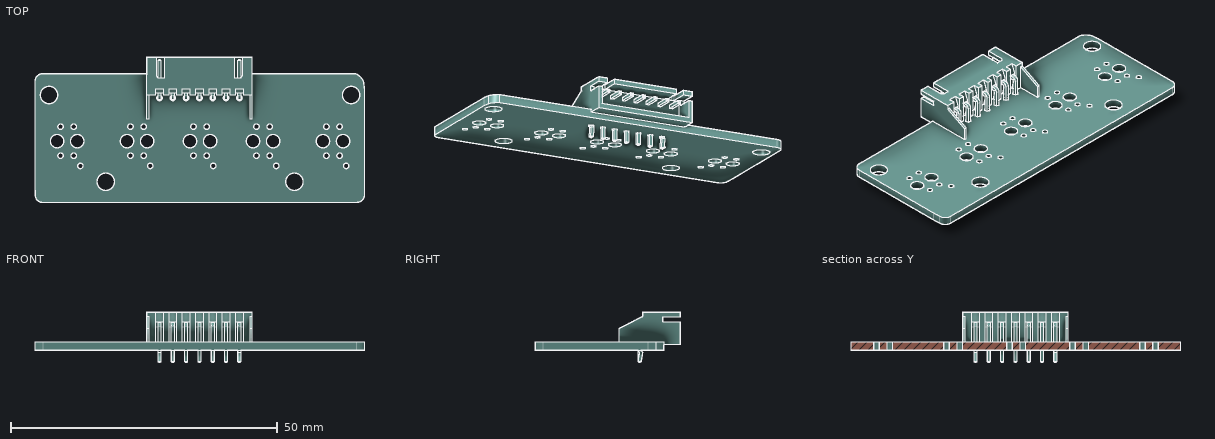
import cadquery as cq
import math


BOARD_LENGTH = 61.9
BOARD_WIDTH = 24.2
BOARD_THICKNESS = 1.6
CORNER_RADIUS = 1.5
KINK_FROM_EDGE = 3.05
FRONT_LEFT_SLANT = 0.05
BACK_RIGHT_SLANT = 0.2
BACK_RIGHT_BULGE = 0.2

HOLE_PATTERN_X = 0.05
MOUNT_HOLE_DIAMETER = 3.2
BACK_MOUNT_X, BACK_MOUNT_Y = 28.35, 20.2
FRONT_MOUNT_X, FRONT_MOUNT_Y = 17.7, 3.9

GROUP_INNER_X = 11.8
GROUP_OUTER_X = 24.95
GROUP_OFFSETS_X = (-GROUP_OUTER_X, -GROUP_INNER_X, 0.0, GROUP_INNER_X, GROUP_OUTER_X)
GROUP_Y = 11.5
LARGE_HOLE_DIAMETER = 2.5
LARGE_HOLE_SPACING = 3.8
SMALL_HOLE_DIAMETER = 1.0
SMALL_HOLE_SPACING_X = 2.5
SMALL_HOLE_SPACING_Y = 5.45
EXTRA_HOLE_X = 2.5
EXTRA_HOLE_Y = 6.9

CONNECTOR_X = -0.05
HOUSING_LENGTH = 19.8
HOUSING_TOP = 5.6
HOUSING_DEPTH = 7.1
OVERHANG = 3.1
OVERHANG_DROP = 0.55
HOUSING_BACK_Y = BOARD_WIDTH + OVERHANG
HOUSING_FRONT_Y = HOUSING_BACK_Y - HOUSING_DEPTH
HOUSING_LEFT = CONNECTOR_X - HOUSING_LENGTH / 2
HOUSING_RIGHT = CONNECTOR_X + HOUSING_LENGTH / 2

WING_THICKNESS = 0.45
WING_REACH = 4.45
WING_BACK_DROP = 0.8
WING_FRONT_DROP = 3.1

TOP_WALL = 0.9
FLOOR_WALL = 0.9
SIDE_WALL = 0.75
CAVITY_DEPTH = 4.0

SIDE_SLOT_DEPTH = 3.3
SIDE_SLOT_HEIGHT = 0.9
TOP_SLOT_DEPTH = 3.9
TOP_SLOT_WIDTH = 1.5
TOP_SLOT_INSET = 1.85
TOP_SLOT_RADIUS = 0.5

PIN_COUNT = 7
PIN_PITCH = 2.5
NOTCH_WIDTH = 1.5
NOTCH_TOP_DEPTH = 1.1
NOTCH_FACE_DEPTH = 0.4
NOTCH_FOOT_DEPTH = 1.1
NOTCH_FACE_TOP_DROP = 1.85
NOTCH_FACE_FOOT_DROP = 2.8
PIN_TOP_DROP = 1.9
NOTCH_FACE_TOP = HOUSING_TOP - NOTCH_FACE_TOP_DROP
NOTCH_FACE_FOOT = HOUSING_TOP - NOTCH_FACE_FOOT_DROP

PIN_WIDTH = 0.6
PIN_TOP = HOUSING_TOP - PIN_TOP_DROP
PIN_FOOT = -3.9
PIN_REACH = 0.85
BLADE_SETBACK = 0.5
PIN_FRONT_Y = HOUSING_FRONT_Y - PIN_REACH
PIN_BACK_Y = HOUSING_BACK_Y - BLADE_SETBACK
PIN_BEND_RADIUS = 0.75
PIN_TIP_CHAMFER = 0.2
KINK_OFFSET = 0.3
KINK_START_Z = -BOARD_THICKNESS
KINK_CREST_Z = -2.0

PIN_LEG_Y = PIN_FRONT_Y + PIN_WIDTH / 2
PIN_XS = [CONNECTOR_X + PIN_PITCH * (i - (PIN_COUNT - 1) / 2) for i in range(PIN_COUNT)]


def span_box(x0, x1, y0, y1, z0, z1):
    """Box between two opposite corners."""
    return cq.Workplane("XY").box(x1 - x0, y1 - y0, z1 - z0, centered=False).translate((x0, y0, z0))


def side_extrusion(points, x_center, width):
    """Extrude a closed (y, z) polygon along X, centered on x_center."""
    plane = cq.Workplane("YZ", origin=(x_center, 0, 0))
    return plane.polyline(points).close().extrude(width / 2, both=True)



def board_blank():
    right, back, r = BOARD_LENGTH / 2, BOARD_WIDTH, CORNER_RADIUS
    left = -right
    arc_inset = r * (1 - math.sqrt(0.5))
    slant_left = left + FRONT_LEFT_SLANT
    slant_right = right - BACK_RIGHT_SLANT
    outline = (
        cq.Workplane("XY")
        .moveTo(left + r, 0)
        .lineTo(right - r, 0)
        .threePointArc((right - arc_inset, arc_inset), (right, r))
        .lineTo(right, back - KINK_FROM_EDGE)
        .lineTo(slant_right, back - r)
        .sagittaArc((slant_right - r, back), -BACK_RIGHT_BULGE)
        .lineTo(left + r, back)
        .threePointArc((left + arc_inset, back - arc_inset), (left, back - r))
        .lineTo(left, KINK_FROM_EDGE)
        .lineTo(slant_left, r)
        .threePointArc((left + arc_inset, arc_inset), (left + r, 0))
        .close()
    )
    return outline.extrude(-BOARD_THICKNESS)


def drill(board, diameter, points):
    cutters = cq.Workplane("XY").pushPoints(points).circle(diameter / 2).extrude(-BOARD_THICKNESS)
    return board.cut(cutters)


def make_board():
    mount_points = [(HOLE_PATTERN_X + side * BACK_MOUNT_X, BACK_MOUNT_Y) for side in (-1, 1)]
    mount_points += [(HOLE_PATTERN_X + side * FRONT_MOUNT_X, FRONT_MOUNT_Y) for side in (-1, 1)]

    large_points = []
    small_points = [(x, PIN_LEG_Y) for x in PIN_XS]
    for offset in GROUP_OFFSETS_X:
        x = HOLE_PATTERN_X + offset
        small_points.append((x + EXTRA_HOLE_X, EXTRA_HOLE_Y))
        for side in (-1, 1):
            large_points.append((x + side * LARGE_HOLE_SPACING / 2, GROUP_Y))
            for end in (-1, 1):
                small_x = x + side * SMALL_HOLE_SPACING_X / 2
                small_points.append((small_x, GROUP_Y + end * SMALL_HOLE_SPACING_Y / 2))

    board = drill(board_blank(), MOUNT_HOLE_DIAMETER, mount_points)
    board = drill(board, LARGE_HOLE_DIAMETER, large_points)
    return drill(board, SMALL_HOLE_DIAMETER, small_points)



def housing_block():
    profile = [
        (HOUSING_FRONT_Y, 0),
        (BOARD_WIDTH, 0),
        (BOARD_WIDTH, -OVERHANG_DROP),
        (HOUSING_BACK_Y, -OVERHANG_DROP),
        (HOUSING_BACK_Y, HOUSING_TOP),
        (HOUSING_FRONT_Y, HOUSING_TOP),
    ]
    return side_extrusion(profile, CONNECTOR_X, HOUSING_LENGTH)


def wing(x_center):
    front_y = HOUSING_FRONT_Y - WING_REACH
    profile = [
        (HOUSING_FRONT_Y, 0),
        (front_y, 0),
        (front_y, HOUSING_TOP - WING_FRONT_DROP),
        (HOUSING_FRONT_Y, HOUSING_TOP - WING_BACK_DROP),
    ]
    return side_extrusion(profile, x_center, WING_THICKNESS)


def mating_cavity():
    return span_box(
        HOUSING_LEFT + SIDE_WALL, HOUSING_RIGHT - SIDE_WALL,
        HOUSING_BACK_Y - CAVITY_DEPTH, HOUSING_BACK_Y,
        FLOOR_WALL - OVERHANG_DROP, HOUSING_TOP - TOP_WALL,
    )


def side_slots():
    """One slot that crosses the cavity and opens both end walls."""
    slot_top = HOUSING_TOP - TOP_WALL
    return span_box(
        HOUSING_LEFT, HOUSING_RIGHT,
        HOUSING_BACK_Y - SIDE_SLOT_DEPTH, HOUSING_BACK_Y,
        slot_top - SIDE_SLOT_HEIGHT, slot_top,
    )


def top_slot(side):
    """Slot through the top wall, with its outer inside corner rounded; side is -1 or 1."""
    outer_x = CONNECTOR_X + side * (HOUSING_LENGTH / 2 - TOP_SLOT_INSET)
    inner_x = outer_x - side * TOP_SLOT_WIDTH
    slot = span_box(
        min(outer_x, inner_x), max(outer_x, inner_x),
        HOUSING_BACK_Y - TOP_SLOT_DEPTH, HOUSING_BACK_Y,
        HOUSING_TOP - TOP_WALL, HOUSING_TOP,
    )
    outer_corner = "|Z and <Y and <X" if side < 0 else "|Z and <Y and >X"
    return slot.edges(outer_corner).fillet(TOP_SLOT_RADIUS)


def pin_notch(x):
    """Notch in the front wall: sloping in at the top, upright at the pin, undercut below."""
    front = HOUSING_FRONT_Y
    profile = [
        (front, 0),
        (front, HOUSING_TOP),
        (front + NOTCH_TOP_DEPTH, HOUSING_TOP),
        (front + NOTCH_FACE_DEPTH, NOTCH_FACE_TOP),
        (front + NOTCH_FACE_DEPTH, NOTCH_FACE_FOOT),
        (front + NOTCH_FOOT_DEPTH, 0),
    ]
    return side_extrusion(profile, x, NOTCH_WIDTH)


def pin(x, kinked):
    """Square pin: a blade in the cavity that bends down into a leg through the board."""
    leg_back = PIN_FRONT_Y + PIN_WIDTH
    leg_front_points = [(PIN_FRONT_Y, PIN_FOOT)]
    leg_back_points = [(leg_back, PIN_FOOT)]
    if kinked:
        kink = ((KINK_OFFSET, KINK_CREST_Z), (0.0, KINK_START_Z))
        leg_front_points += [(PIN_FRONT_Y + offset, z) for offset, z in kink]
        leg_back_points += [(leg_back + offset, z) for offset, z in kink]
    bend_and_blade = [
        (PIN_FRONT_Y, PIN_TOP),
        (PIN_BACK_Y, PIN_TOP),
        (PIN_BACK_Y, PIN_TOP - PIN_WIDTH),
        (leg_back, PIN_TOP - PIN_WIDTH),
    ]
    profile = leg_front_points + bend_and_blade + leg_back_points[::-1]
    body = side_extrusion(profile, x, PIN_WIDTH)
    body = body.faces("<Z or >Y").edges().chamfer(PIN_TIP_CHAMFER)
    outer_bend = cq.selectors.NearestToPointSelector((x, PIN_FRONT_Y, PIN_TOP))
    return body.edges(outer_bend).fillet(PIN_BEND_RADIUS)


def make_connector():
    connector = housing_block().cut(mating_cavity()).cut(side_slots())
    for side in (-1, 1):
        connector = connector.cut(top_slot(side))
        wing_x = CONNECTOR_X + side * (HOUSING_LENGTH - WING_THICKNESS) / 2
        connector = connector.union(wing(wing_x))
    for x in PIN_XS:
        connector = connector.cut(pin_notch(x))
    end_pins = (PIN_XS[0], PIN_XS[-1])
    for x in PIN_XS:
        connector = connector.union(pin(x, kinked=x in end_pins))
    return connector


board = make_board()
connector = make_connector()

result = cq.Compound.makeCompound([board.solids().val(), connector.solids().val()])